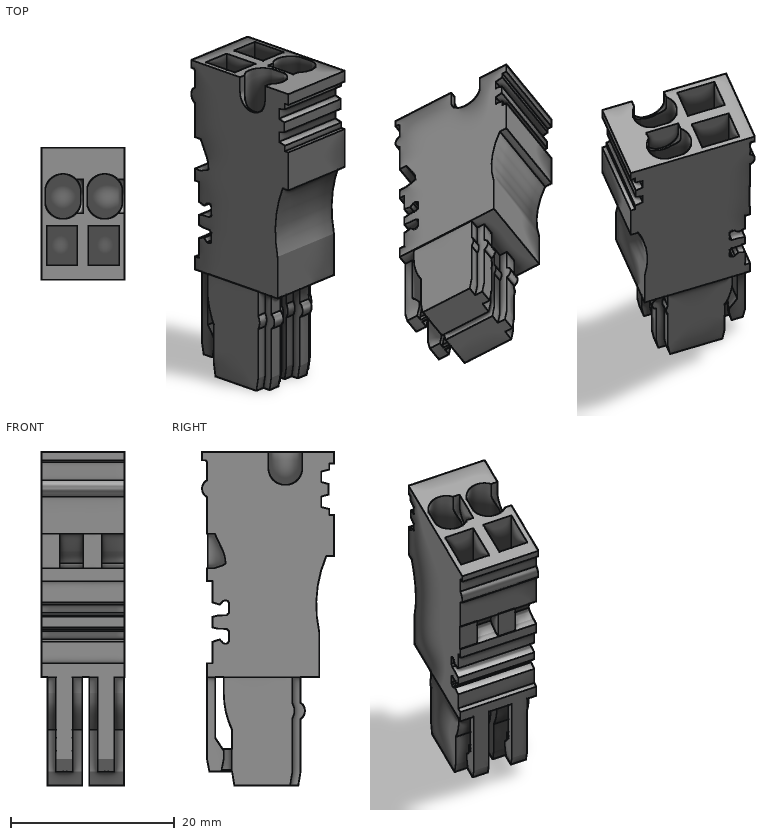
import cadquery as cq


width = 10.2
depth = 16.15
height = 40.75
pole_count = 2
pitch = width / pole_count

housing_bottom = 13.25
front_face = 0.6
rim_bottom = 39.75
rim_chamfer_depth = 0.15
rim_chamfer_height = 0.25
ridge_z = 36.25
ridge_half_height = 1.0
latch_z = 19.95
latch_recess_half = 5.0
latch_recess_face = 1.25

grip_z = 36.2
back_face = 14.35
back_ledge_z = 28.05
hollow_top = (15.2, back_ledge_z)
hollow_middle = (13.98, 22.0)
hollow_bottom = (back_face, 18.75)

entry_x = 2.65
entry_y = 10.2
entry_width = 4.3
entry_length = 5.5
entry_straight = 1.95
notch_radius = 2.08
notch_centre_depth = 1.95

pocket_x = 2.53
pocket_y = 4.2
pocket_width = 3.75
pocket_length = 4.8
cavity_depth = 8.15

window_left = 2.3
window_top = 30.73
window_bottom = 26.55
window_depth = 2.3
post_setback = 0.1

pin_left = 0.75
pin_width = 4.28
pin_front = 2.65
pin_waist = 3.65
pin_back = 11.05
tip_height = 1.7
tip_inset = 0.3
waist_top = 11.33
waist_bottom = 6.8
bump_z = 9.13
pin_bump_half = 0.9
pin_bump_rise = 0.25

rib_left = 2.1
rib_width = 1.65
rib_back = 12.05
rib_bump_half = 0.98
rib_bump_rise = 0.55

finger_left = 1.8
finger_width = 2.05
finger_thickness = 1.0
finger_hook_back = 2.65
finger_hook_top = 4.25
finger_hook_start = 5.83
finger_taper_top = 3.2
web_left = 2.5
web_width = 0.8
web_top = 4.5
web_edge_chamfer = 0.25


def extrude_x(outline, start, length):
    """Extrude an outline drawn in the YZ plane along +X."""
    return outline.close().extrude(length).translate((start, 0, 0))


def mirrored(half, centre):
    """Mirror outward-ordered points (y, offset) about a height; return them from bottom to top."""
    lower = [(y, centre - offset) for y, offset in reversed(half)]
    upper = [(y, centre + offset) for y, offset in half]
    return lower + upper


def at_poles(shape):
    """Union of the shape repeated at every pole."""
    copies = shape
    for pole in range(1, pole_count):
        copies = copies.union(shape.translate((pole * pitch, 0, 0)))
    return copies


def make_housing():
    latch_half = [
        (latch_recess_face, 0.65), (1.9, 0.8),
        (3.0, 0.85), (3.3, 1.15),
        (3.3, 2.32), (3.15, 2.55), (2.9, 2.65), (2.6, 2.55),
        (2.15, 2.1), (latch_recess_face, 2.4),
        (latch_recess_face, latch_recess_half), (front_face, latch_recess_half),
    ]
    grip_half = [
        (15.5, 0.65), (14.6, 0.9),
        (14.6, 2.15), (15.55, 2.4),
        (15.55, 3.15), (depth, 3.15),
    ]
    outline = cq.Workplane("YZ").moveTo(front_face, housing_bottom)
    for point in mirrored(latch_half, latch_z):
        outline = outline.lineTo(*point)
    outline = (
        outline.lineTo(front_face, ridge_z - ridge_half_height)
        .threePointArc((0, ridge_z), (front_face, ridge_z + ridge_half_height))
        .lineTo(front_face, rim_bottom - rim_chamfer_height)
        .lineTo(front_face - rim_chamfer_depth, rim_bottom)
        .lineTo(0, rim_bottom)
        .lineTo(0, height)
        .lineTo(depth, height)
    )
    for point in reversed(mirrored(grip_half, grip_z)):
        outline = outline.lineTo(*point)
    outline = (
        outline.lineTo(depth, back_ledge_z)
        .lineTo(*hollow_top)
        .threePointArc(hollow_middle, hollow_bottom)
        .lineTo(back_face, housing_bottom)
    )
    return extrude_x(outline, 0, width)


def make_wire_entry():
    half_width = entry_width / 2
    half_length = entry_length / 2
    half_straight = entry_straight / 2
    hole = (
        cq.Workplane("XY", origin=(entry_x, entry_y, height - cavity_depth))
        .moveTo(half_width, -half_straight)
        .lineTo(half_width, half_straight)
        .threePointArc((0, half_length), (-half_width, half_straight))
        .lineTo(-half_width, -half_straight)
        .threePointArc((0, -half_length), (half_width, -half_straight))
        .close()
        .extrude(cavity_depth)
    )
    notch_centre_z = height - notch_centre_depth
    notch = (
        cq.Workplane("YZ")
        .moveTo(entry_y - notch_radius, height)
        .lineTo(entry_y - notch_radius, notch_centre_z)
        .threePointArc((entry_y, notch_centre_z - notch_radius), (entry_y + notch_radius, notch_centre_z))
        .lineTo(entry_y + notch_radius, height)
    )
    return hole.union(extrude_x(notch, entry_x, pitch - entry_x))


def make_pocket():
    return (
        cq.Workplane("XY", origin=(pocket_x, pocket_y, height - cavity_depth))
        .rect(pocket_width, pocket_length)
        .extrude(cavity_depth)
    )


def make_window():
    inner_y = front_face + window_depth
    sloped_roof_start = (front_face + 0.98, window_top)
    sloped_roof_end = (inner_y - 0.3, window_top - 2.15)
    floor_start = (inner_y, window_top - 3.55)
    floor_flat_end = (front_face + 0.95, window_bottom)
    floor_curve_end = (front_face + 1.7, window_bottom + 0.25)
    floor_curve_middle = (front_face + 2.08, window_bottom + 0.4)
    back_middle = (inner_y - 0.1, window_top - 2.85)
    recess = (
        cq.Workplane("YZ")
        .moveTo(front_face, window_top)
        .lineTo(*sloped_roof_start)
        .lineTo(*sloped_roof_end)
        .threePointArc(back_middle, floor_start)
        .threePointArc(floor_curve_middle, floor_curve_end)
        .lineTo(*floor_flat_end)
        .lineTo(front_face, window_bottom)
    )
    setback = (
        cq.Workplane("XY")
        .box(pitch, post_setback, window_top - window_bottom, centered=False)
        .translate((0, front_face, window_bottom))
    )
    return extrude_x(recess, window_left, pitch - window_left).union(setback)


def add_bumped_back(outline, back, bump_half, bump_rise):
    """Continue an outline up a back face: tapered tip, straight wall and rounded detent bump."""
    return (
        outline.lineTo(back - tip_inset, 0)
        .lineTo(back, tip_height)
        .lineTo(back, bump_z - bump_half)
        .threePointArc((back + bump_rise, bump_z), (back, bump_z + bump_half))
        .lineTo(back, housing_bottom)
    )


def make_pin():
    core = (
        cq.Workplane("YZ")
        .moveTo(pin_front, housing_bottom)
        .lineTo(pin_front, waist_top)
        .tangentArcPoint((pin_waist, waist_bottom), relative=False)
        .lineTo(pin_waist, tip_height)
        .lineTo(pin_waist + tip_inset, 0)
    )
    core = add_bumped_back(core, pin_back, pin_bump_half, pin_bump_rise)
    rib_root = (pin_waist + pin_back) / 2
    rib = cq.Workplane("YZ").moveTo(rib_root, housing_bottom).lineTo(rib_root, 0)
    rib = add_bumped_back(rib, rib_back, rib_bump_half, rib_bump_rise)
    return extrude_x(core, pin_left, pin_width).union(extrude_x(rib, rib_left, rib_width))


def make_finger():
    finger_back = front_face + finger_thickness
    outline = (
        cq.Workplane("YZ")
        .moveTo(front_face, housing_bottom)
        .lineTo(finger_back, housing_bottom)
        .lineTo(finger_back, finger_hook_start)
        .lineTo(finger_hook_back - 0.12, web_top)
        .lineTo(finger_hook_back, finger_hook_top)
        .lineTo(finger_hook_back, finger_taper_top)
        .lineTo(finger_hook_back - tip_inset, tip_height)
        .lineTo(front_face + tip_inset, tip_height)
        .lineTo(front_face, finger_taper_top)
    )
    web_front = front_face + finger_thickness / 2
    web = (
        cq.Workplane("XY")
        .box(web_width, pin_waist + tip_inset - web_front, web_top - tip_height, centered=False)
        .edges("|Y and <Z")
        .chamfer(web_edge_chamfer)
        .translate((web_left, web_front, tip_height))
    )
    return extrude_x(outline, finger_left, finger_width).union(web)


cavities = make_wire_entry().union(make_pocket()).union(make_window())
plug = make_pin().union(make_finger())
result = make_housing().cut(at_poles(cavities)).union(at_poles(plug))